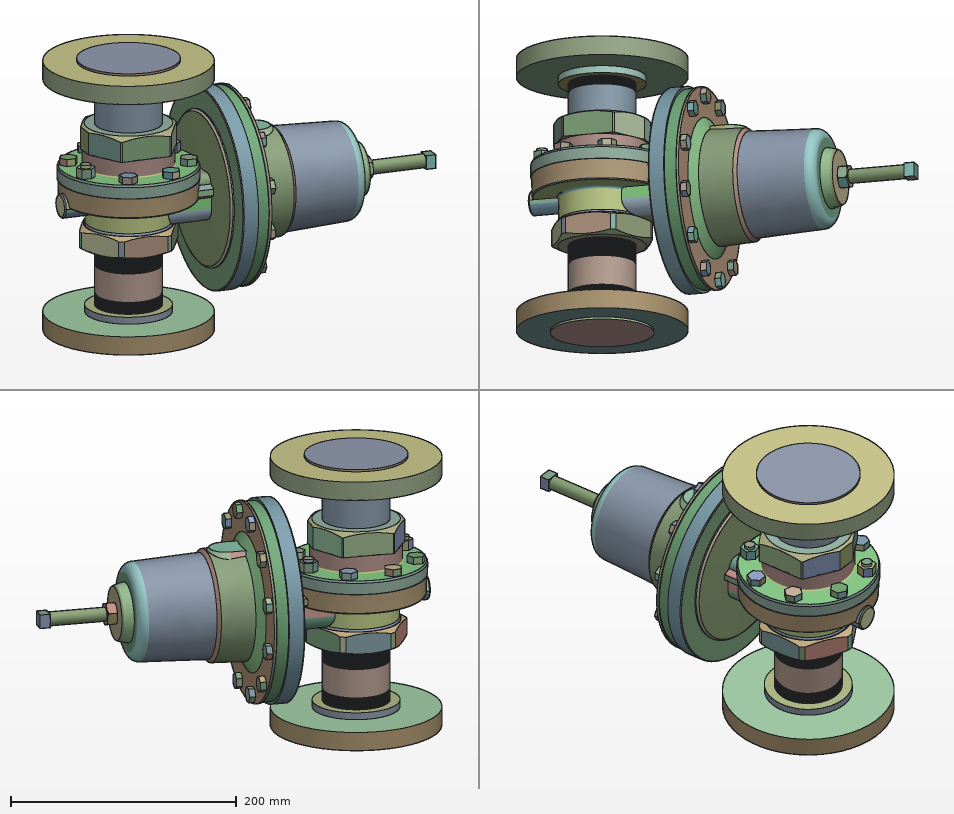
import cadquery as cq
import math


face_to_face = 254.0
top_face_z = 129.6
bottom_face_z = top_face_z - face_to_face
stem_end_y = 292.1

flange_dia = 152.4
raised_face_dia = 92.1
raised_face_height = 2.0
flange_thickness = 17.05
flange_hub_dia = 78.0
flange_hub_height = 6.35
flange_stack = raised_face_height + flange_thickness + flange_hub_height
pipe_dia = 60.325
thread_pitch = 1.0
thread_depth = thread_pitch * math.cos(math.pi / 6)
upper_flange_turns = 8
lower_nut_turns = 17
lower_flange_turns = 11

body_hex_flats = 82.55
upper_hex_bottom_z = 47.5
upper_hex_top_z = 69.6
upper_hex_corner_dia = 94.4
upper_hex_depth_y = 84.6
lower_hex_top_z = -23.6
lower_hex_bottom_z = -44.5
lower_hex_corner_dia = 92.4
hex_cone_dia = 78.6
hex_cone_slope = 0.45

bonnet_dia = 82.5
bonnet_flange_dia = 127.0
bonnet_flange_top_z = 31.3
bonnet_flange_edge = 2.0
bonnet_root_fillet = 1.0
body_split_z = 18.7
body_dia = 125.6
body_base_dia = 124.6
body_edge_chamfer = 1.0
neck_dia = 77.2
neck_fillet = 2.2
neck_flare_dia = 80.0
neck_flare_start_z = -21.5

bonnet_bolt_count = 8
bonnet_bolt_circle = 107.0
bonnet_bolt_flats = 14.3
bonnet_bolt_head = 6.4
bonnet_nut_height = 8.9
stud_dia = 9.5
stud_height = 11.8
stud_angles = (112.5, 292.5)

plug_dia = 22.2
plug_end_y = -65.5
plug_start_y = -20.0
plug_edge = 1.2
plug_peak_half_width = 11.8

link_top_z = 20.0
link_top_half_width = 26.0
link_top_radius = 8.0
link_rib_half_width = 32.5
link_rib_top_z = 9.1
link_rib_bottom_z = 3.2
link_low_half_width = 27.6
link_bottom_z = -24.2
link_start_y = 15.0
link_bottom_radius = 13.5

plate_front_y = 68.9
plate_dia = 142.6
plate_edge = 1.9
plate_crown = 1.2
lower_case_front_y = 72.1
lower_case_dia = 184.15
lower_case_edge = 0.9
case_split_y = 86.7
upper_case_dia = 179.4
rim_dia = 181.4
rim_thickness = 2.5
case_top_y = 100.1
case_bolt_count = 12
case_bolt_circle = 164.0
case_bolt_flats = 12.7
case_bolt_head = 5.6

case_root_dia = 126.0
case_root_height = 6.4
skirt_base_dia = 104.8
skirt_top_dia = 101.8
skirt_top_y = 137.8
barrel_base_dia = 95.6
barrel_base_y = 140.9
barrel_shoulder_dia = 89.8
barrel_top_y = 211.4
barrel_round = 9.0
cap_base_dia = 54.8
cap_top_dia = 50.6
cap_top_y = 221.9
cap_edge = 2.0
lock_nut_flats = 19.05
lock_nut_height = 8.9
lock_nut_edge = 1.0
lock_nut_corner_angle = 162.0
stem_dia = 12.7
stem_square = 12.7
stem_square_length = 9.3

vent_y = 120.0
vent_radius = 14.9
vent_top_z = 53.0
vent_depth = 12.0
vent_draft_angle = 42.0


def hex_corner_dia(flats):
    """Diameter across the corners of a hexagon given across its flats."""
    return flats / math.cos(math.pi / 6)


def on_circle(seat, circle_dia, angle):
    """Seat workplane moved to a place on a circle about its origin."""
    radius = circle_dia / 2
    angle_rad = math.radians(angle)
    return seat.transformed(offset=(radius * math.cos(angle_rad), radius * math.sin(angle_rad), 0))


def cylinder_z(dia, z_start, z_end):
    return cq.Workplane("XY", origin=(0, 0, z_start)).circle(dia / 2).extrude(z_end - z_start)


def cylinder_y(dia, y_start, y_end):
    return cq.Workplane("XZ", origin=(0, y_start, 0)).circle(dia / 2).extrude(y_start - y_end)


def pipe_flange(face_z, inward):
    """Raised-face flange with hub; inward is the Z sense from the face to the body."""
    back_of_face = face_z + inward * raised_face_height
    back_of_flange = back_of_face + inward * flange_thickness
    hub_end = face_z + inward * flange_stack
    face = cylinder_z(raised_face_dia, face_z, back_of_face)
    disc = cylinder_z(flange_dia, back_of_face, back_of_flange)
    hub = cylinder_z(flange_hub_dia, back_of_flange, hub_end)
    return face.union(disc).union(hub)


def thread_points(z_top, turns):
    """Zigzag outline of ring grooves for a thread that runs downward from z_top."""
    crest = pipe_dia / 2
    points = [(crest, z_top)]
    for turn in range(turns):
        turn_top = z_top - turn * thread_pitch
        points.append((crest - thread_depth, turn_top - thread_pitch / 2))
        points.append((crest, turn_top - thread_pitch))
    return points


def nipple(z_top, z_bottom, top_turns, bottom_turns):
    """Solid pipe with thread at its ends; zero turns leave an end plain."""
    bottom_thread_top = z_bottom + bottom_turns * thread_pitch
    outline = [(0, z_top)] + thread_points(z_top, top_turns)
    outline += thread_points(bottom_thread_top, bottom_turns)
    outline.append((0, z_bottom))
    return cq.Workplane("XZ").polyline(outline).close().revolve(360, (0, 0), (0, 1))


def body_hex(z_bottom, z_top, corner_dia, cone_at_bottom):
    """Body hexagon with flats on +-X, turned corners and coned ends."""
    prism = (
        cq.Workplane("XY", origin=(0, 0, z_bottom))
        .transformed(rotate=(0, 0, 30))
        .polygon(6, hex_corner_dia(body_hex_flats))
        .extrude(z_top - z_bottom)
    )
    cone_drop = hex_cone_slope * (corner_dia - hex_cone_dia) / 2
    outline = [(0, z_top), (hex_cone_dia / 2, z_top), (corner_dia / 2, z_top - cone_drop)]
    if cone_at_bottom:
        outline += [(corner_dia / 2, z_bottom + cone_drop), (hex_cone_dia / 2, z_bottom)]
    else:
        outline.append((corner_dia / 2, z_bottom))
    outline.append((0, z_bottom))
    turned = cq.Workplane("XZ").polyline(outline).close().revolve(360, (0, 0), (0, 1))
    return prism.intersect(turned)


def upper_hex():
    """Bonnet hexagon, cut flat across its front and back corners."""
    height = upper_hex_top_z - upper_hex_bottom_z
    slab = (
        cq.Workplane("XY", origin=(0, 0, upper_hex_bottom_z))
        .rect(flange_dia, upper_hex_depth_y)
        .extrude(height)
    )
    return body_hex(upper_hex_bottom_z, upper_hex_top_z, upper_hex_corner_dia, False).intersect(slab)


def bonnet_and_body():
    """Turned valve body from the neck up to the bonnet hexagon."""
    flange_r = bonnet_flange_dia / 2
    bonnet_r = bonnet_dia / 2
    neck_r = neck_dia / 2
    base_r = body_base_dia / 2
    outline = (
        cq.Workplane("XZ")
        .moveTo(0, upper_hex_bottom_z)
        .lineTo(bonnet_r, upper_hex_bottom_z)
        .lineTo(bonnet_r, bonnet_flange_top_z + bonnet_root_fillet)
        .radiusArc((bonnet_r + bonnet_root_fillet, bonnet_flange_top_z), -bonnet_root_fillet)
        .lineTo(flange_r - bonnet_flange_edge / 2, bonnet_flange_top_z)
        .lineTo(flange_r, bonnet_flange_top_z - bonnet_flange_edge)
        .lineTo(flange_r, body_split_z)
        .lineTo(body_dia / 2, body_split_z)
        .lineTo(base_r, body_edge_chamfer)
        .lineTo(base_r - body_edge_chamfer, 0)
        .lineTo(neck_r + neck_fillet, 0)
        .radiusArc((neck_r, -neck_fillet), -neck_fillet)
        .lineTo(neck_r, neck_flare_start_z)
        .lineTo(neck_flare_dia / 2, lower_hex_top_z)
        .lineTo(0, lower_hex_top_z)
        .close()
    )
    return outline.revolve(360, (0, 0), (0, 1))


def hex_head(seat, circle_dia, angle, turn, flats, height):
    """Hexagonal prism on a bolt circle, its corner turned from the radial direction."""
    spot = on_circle(seat, circle_dia, angle)
    return spot.transformed(rotate=(0, 0, angle + turn)).polygon(6, hex_corner_dia(flats)).extrude(height)


def hex_heads(seat, count, circle_dia, turn, flats, height):
    """Ring of equal hexagonal heads that straddles the axes of the seat."""
    step = 360 / count
    angles = [step * (index + 0.5) for index in range(count)]
    return [hex_head(seat, circle_dia, angle, turn, flats, height) for angle in angles]


def bonnet_bolts():
    """Bolt heads on the bonnet flange; two opposite places carry a taller nut on a stud."""
    seat = cq.Workplane("XY", origin=(0, 0, bonnet_flange_top_z))
    turn = 180 / bonnet_bolt_count
    circle = bonnet_bolt_circle
    bolts = hex_heads(seat, bonnet_bolt_count, circle, turn, bonnet_bolt_flats, bonnet_bolt_head)
    for angle in stud_angles:
        bolts.append(hex_head(seat, circle, angle, turn, bonnet_bolt_flats, bonnet_nut_height))
        bolts.append(on_circle(seat, circle, angle).circle(stud_dia / 2).extrude(stud_height))
    return bolts


def case_bolts():
    """Bolt heads on the spring side of the diaphragm housing."""
    seat = cq.Workplane("XZ", origin=(0, case_top_y, 0))
    turn = -180 / case_bolt_count
    return hex_heads(seat, case_bolt_count, case_bolt_circle, turn, case_bolt_flats, -case_bolt_head)


def plug_boss():
    """Round boss peaked at both sides, level with the underside of the body."""
    radius = plug_dia / 2
    touch_angle = math.acos(radius / plug_peak_half_width)
    touch_x = radius * math.cos(touch_angle)
    touch_z = radius * math.sin(touch_angle)
    return (
        cq.Workplane("XZ", origin=(0, plug_start_y, 0))
        .moveTo(plug_peak_half_width, 0)
        .lineTo(touch_x, touch_z)
        .threePointArc((0, radius), (-touch_x, touch_z))
        .lineTo(-plug_peak_half_width, 0)
        .lineTo(-touch_x, -touch_z)
        .threePointArc((0, -radius), (touch_x, -touch_z))
        .close()
        .extrude(plug_start_y - plug_end_y)
        .faces("<Y")
        .chamfer(plug_edge)
    )


def actuator_link():
    """Ribbed neck between the valve body and the diaphragm plate."""
    low_side_z = link_bottom_z + link_bottom_radius
    return (
        cq.Workplane("XZ", origin=(0, link_start_y, 0))
        .moveTo(0, link_top_z)
        .lineTo(-(link_top_half_width - link_top_radius), link_top_z)
        .radiusArc((-link_top_half_width, link_top_z - link_top_radius), -link_top_radius)
        .lineTo(-link_rib_half_width, link_rib_top_z)
        .lineTo(-link_rib_half_width, link_rib_bottom_z)
        .lineTo(-link_low_half_width, 0)
        .lineTo(-link_low_half_width, low_side_z)
        .radiusArc((-link_low_half_width + link_bottom_radius, link_bottom_z), -link_bottom_radius)
        .lineTo(0, link_bottom_z)
        .mirrorY()
        .extrude(link_start_y - plate_front_y)
    )


def actuator():
    """Turned diaphragm housing, spring case and cap on the Y axis."""
    plate_r = plate_dia / 2
    lower_r = lower_case_dia / 2
    shoulder_r = barrel_shoulder_dia / 2
    cap_top_r = cap_top_dia / 2
    outline = (
        cq.Workplane("XY")
        .moveTo(0, plate_front_y - plate_crown)
        .lineTo(plate_r - plate_edge, plate_front_y)
        .lineTo(plate_r, plate_front_y + plate_edge)
        .lineTo(plate_r, lower_case_front_y)
        .lineTo(lower_r - lower_case_edge, lower_case_front_y)
        .lineTo(lower_r, lower_case_front_y + lower_case_edge)
        .lineTo(lower_r, case_split_y)
        .lineTo(upper_case_dia / 2, case_split_y)
        .lineTo(upper_case_dia / 2, case_top_y - rim_thickness)
        .lineTo(rim_dia / 2, case_top_y - rim_thickness)
        .lineTo(rim_dia / 2, case_top_y)
        .lineTo(case_root_dia / 2, case_top_y)
        .lineTo(skirt_base_dia / 2, case_top_y + case_root_height)
        .lineTo(skirt_top_dia / 2, skirt_top_y)
        .lineTo(barrel_base_dia / 2, barrel_base_y)
        .lineTo(shoulder_r, barrel_top_y - barrel_round)
        .radiusArc((shoulder_r - barrel_round, barrel_top_y), -barrel_round)
        .lineTo(cap_base_dia / 2, barrel_top_y)
        .lineTo(cap_top_r, cap_top_y - cap_edge)
        .lineTo(cap_top_r - cap_edge / 2, cap_top_y)
        .lineTo(0, cap_top_y)
        .close()
    )
    return outline.revolve(360, (0, 0), (0, 1))


def stem():
    """Adjusting stem with its lock nut and square end."""
    nut_corner_r = hex_corner_dia(lock_nut_flats) / 2
    nut = (
        cq.Workplane("XZ", origin=(0, cap_top_y, 0))
        .transformed(rotate=(0, 0, lock_nut_corner_angle))
        .polygon(6, 2 * nut_corner_r)
        .extrude(-lock_nut_height)
    )
    nut_blank = cylinder_y(2 * nut_corner_r, cap_top_y, cap_top_y + lock_nut_height)
    nut = nut.intersect(nut_blank.edges().chamfer(lock_nut_edge))
    square_start_y = stem_end_y - stem_square_length
    rod = cylinder_y(stem_dia, cap_top_y, square_start_y)
    square = (
        cq.Workplane("XZ", origin=(0, square_start_y, 0))
        .rect(stem_square, stem_square)
        .extrude(-stem_square_length)
    )
    return nut.union(rod).union(square)


def vent_pad():
    """Drafted pad with a rounded end on top of the spring case."""
    return (
        cq.Workplane("XY", origin=(0, 0, vent_top_z))
        .moveTo(-vent_radius, case_top_y)
        .lineTo(vent_radius, case_top_y)
        .lineTo(vent_radius, vent_y)
        .radiusArc((-vent_radius, vent_y), -vent_radius)
        .close()
        .extrude(-vent_depth, taper=-vent_draft_angle)
        .intersect(vent_limits())
    )


def vent_limits():
    """Block that keeps the vent pad between the housing and the end of the skirt."""
    length = skirt_top_y - case_top_y
    return (
        cq.Workplane("XY", origin=(0, case_top_y + length / 2, 0))
        .rect(skirt_base_dia, length)
        .extrude(vent_top_z)
    )


upper_hub_z = top_face_z - flange_stack
lower_hub_z = bottom_face_z + flange_stack

result = bonnet_and_body()
for piece in (
    pipe_flange(top_face_z, -1),
    pipe_flange(bottom_face_z, 1),
    nipple(upper_hub_z, upper_hex_top_z, upper_flange_turns, 0),
    nipple(lower_hex_bottom_z, lower_hub_z, lower_nut_turns, lower_flange_turns),
    upper_hex(),
    body_hex(lower_hex_bottom_z, lower_hex_top_z, lower_hex_corner_dia, True),
    plug_boss(),
    actuator_link(),
    actuator(),
    stem(),
    vent_pad(),
    *bonnet_bolts(),
    *case_bolts(),
):
    result = result.union(piece)